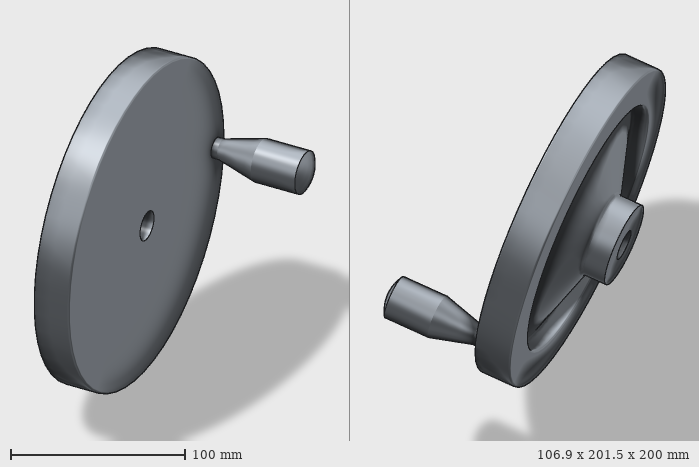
import cadquery as cq
import math


match_tolerance = 0.01

wheel_radius = 100.0
rim_front_x = 23.0
rim_back_x = 46.0
rim_edge_rounding = 1.2

hub_radius = 25.0
hub_root_rounding = 2.0
bore_radius = 9.0

recess_radius = 154.1 / 2
recess_corner_rounding = 2.0
cone_start_x = 14.9
cone_slope = math.radians(20.5)
cone_end_x = cone_start_x + (recess_radius - hub_radius) * math.tan(cone_slope)

handle_radius = 13.0
handle_end_x = 106.89
handle_offset = (wheel_radius + recess_radius) / 2
neck_radius = 12.48 / 2
neck_length = 4.0
taper_length = 25.0
grip_length = 28.0


def round_circle(body, x, radius, rounding):
    """Round the circular edge of given radius that lies around the wheel axis at x."""

    def is_wanted(edge):
        if edge.geomType() != "CIRCLE":
            return False
        same_place = abs(edge.Center().x - x) < match_tolerance
        return same_place and abs(edge.radius() - radius) < match_tolerance

    return body.edges().filter(is_wanted).fillet(rounding)


def make_wheel():
    """Hub, conical web and rim as one revolved section with rounded circles."""
    section = [
        (0, bore_radius),
        (0, hub_radius),
        (cone_start_x, hub_radius),
        (cone_end_x, recess_radius),
        (rim_front_x, recess_radius),
        (rim_front_x, wheel_radius),
        (rim_back_x, wheel_radius),
        (rim_back_x, bore_radius),
    ]
    wheel = cq.Workplane("XY").polyline(section).close().revolve(360, (0, 0), (1, 0))
    wheel = round_circle(wheel, cone_start_x, hub_radius, hub_root_rounding)
    wheel = round_circle(wheel, cone_end_x, recess_radius, recess_corner_rounding)
    wheel = round_circle(wheel, rim_front_x, recess_radius, rim_edge_rounding)
    wheel = round_circle(wheel, rim_front_x, wheel_radius, rim_edge_rounding)
    return round_circle(wheel, rim_back_x, wheel_radius, rim_edge_rounding)


def make_handle():
    """Neck, taper and straight grip with a spherical end, standing on the back of the rim."""
    taper_start_x = rim_back_x + neck_length
    grip_start_x = taper_start_x + taper_length
    grip_end_x = grip_start_x + grip_length

    dome_height = handle_end_x - grip_end_x
    dome_sphere_radius = (handle_radius**2 + dome_height**2) / (2 * dome_height)
    half_angle = math.asin(handle_radius / dome_sphere_radius) / 2
    dome_mid_x = handle_end_x - dome_sphere_radius * (1 - math.cos(half_angle))
    dome_mid_radius = dome_sphere_radius * math.sin(half_angle)

    profile = (
        cq.Workplane("XY")
        .moveTo(rim_back_x, 0)
        .lineTo(rim_back_x, neck_radius)
        .lineTo(taper_start_x, neck_radius)
        .lineTo(grip_start_x, handle_radius)
        .lineTo(grip_end_x, handle_radius)
        .threePointArc((dome_mid_x, dome_mid_radius), (handle_end_x, 0))
        .close()
    )
    return profile.revolve(360, (0, 0), (1, 0)).translate((0, handle_offset, 0))


result = make_wheel().union(make_handle())